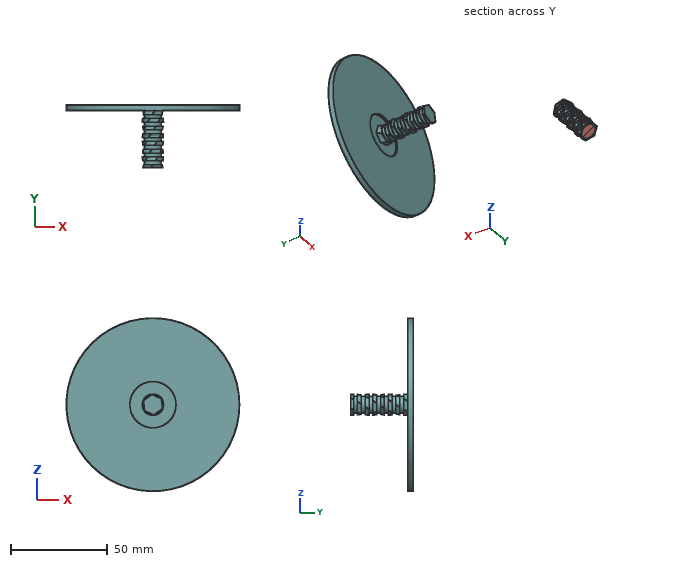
import cadquery as cq

disc_diameter = 90.0
disc_thickness = 3.0
recess_diameter = 24.0
recess_depth = 1.0

total_length = 32.52
hexagon_corner_diameter = 11.0
hexagon_sides = 6
total_twist = 220.0
twist_per_mm = total_twist / total_length
rear_segment_length = 15.75

groove_count = 7
groove_width = 2.0
groove_pitch = 4.0
groove_floor_diameter = 8.81
groove_cutter_diameter = 2 * hexagon_corner_diameter


def plane_at(distance):
    """Workplane facing -Y, at a distance in front of the back of the disc."""
    return cq.Workplane("XZ", origin=(0, -distance, 0))


def make_disc():
    """Round disc with a shallow round recess in its front face."""
    disc = plane_at(0).circle(disc_diameter / 2).extrude(disc_thickness)
    recess_floor = disc_thickness - recess_depth
    recess = plane_at(recess_floor).circle(recess_diameter / 2).extrude(recess_depth)
    return disc.cut(recess)


def make_shaft_segment(start, end):
    """Twisted hexagon between two distances, turned to follow one continuous helix."""
    length = end - start
    return (
        plane_at(start)
        .transformed(rotate=(0, 0, start * twist_per_mm))
        .polygon(hexagon_sides, hexagon_corner_diameter)
        .twistExtrude(length, length * twist_per_mm)
    )


def make_groove(index):
    """Ring that cuts the hexagon down to the round groove floor."""
    first_groove_start = disc_thickness + groove_pitch - groove_width
    return (
        plane_at(first_groove_start + index * groove_pitch)
        .circle(groove_cutter_diameter / 2)
        .circle(groove_floor_diameter / 2)
        .extrude(groove_width)
    )


def make_shaft():
    """Twisted hexagonal shaft with all of its ring grooves."""
    rear_segment = make_shaft_segment(0, rear_segment_length)
    front_segment = make_shaft_segment(rear_segment_length, total_length)
    shaft = rear_segment.union(front_segment)
    for index in range(groove_count):
        shaft = shaft.cut(make_groove(index))
    return shaft


result = make_disc().union(make_shaft())